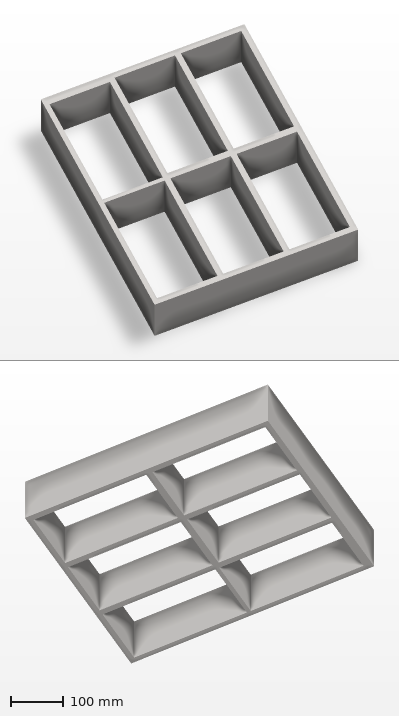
import cadquery as cq

length = 529.0
width = 428.0
height = 103.0

wall = 12.0
columns = 2
rows = 3
cell_length = 245.5
cell_width = 127.0
front_left_shift = 5.5

center_wall = length - 2 * wall - columns * cell_length
column_pitch = cell_length + center_wall
row_pitch = cell_width + wall


def compartment(column, row):
    """Through cutter; columns count from -X and rows count from +Y."""
    is_front_left = column == 0 and row == rows - 1
    shift = front_left_shift if is_front_left else 0.0
    x_min = -length / 2 + wall + column * column_pitch + shift
    y_max = width / 2 - wall - row * row_pitch
    return (
        cq.Workplane("XY")
        .box(cell_length, cell_width, height, centered=False)
        .translate((x_min, y_max - cell_width, 0))
    )


result = cq.Workplane("XY").box(length, width, height, centered=(True, True, False))
for column in range(columns):
    for row in range(rows):
        result = result.cut(compartment(column, row))